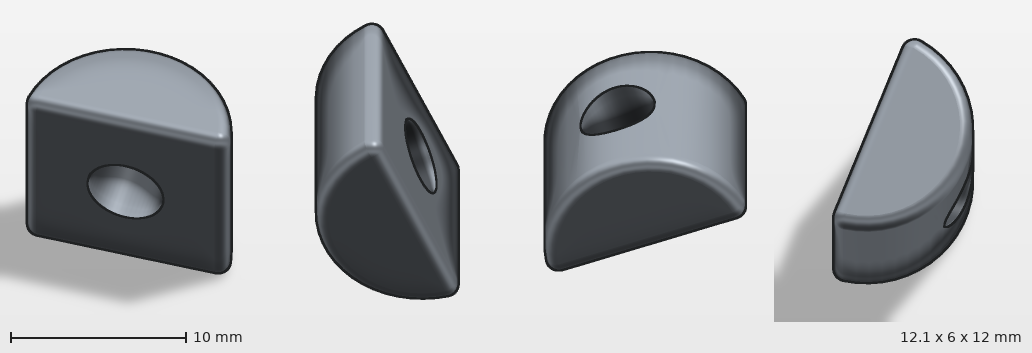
import cadquery as cq

length = 12.0
depth = 6.0
crown_radius = 6.1
edge_radius = 0.75
hole_diameter = 4.5

crown_axis_y = depth - crown_radius
half_chord = (crown_radius**2 - crown_axis_y**2) ** 0.5


def make_body():
    """D-shaped bar along Z, flat face on Y = 0, with all edges rounded."""
    bar = (
        cq.Workplane("XY")
        .workplane(offset=-length / 2)
        .moveTo(-half_chord, 0)
        .threePointArc((0, depth), (half_chord, 0))
        .close()
        .extrude(length)
    )
    return bar.edges().fillet(edge_radius)


def make_hole():
    """Cylinder along Y through the centre of the flat face and the crown."""
    return cq.Workplane("XZ").circle(hole_diameter / 2).extrude(-depth)


result = make_body().cut(make_hole())